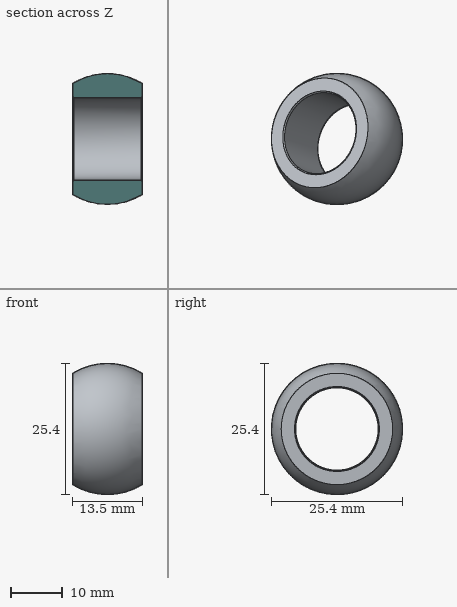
import cadquery as cq

ball_diameter = 25.4
width = 13.46
bore_diameter = 15.93
bore_chamfer = 0.25
slab_side = 2 * ball_diameter


def make_truncated_ball():
    """Sphere trimmed to the ring width by two flats normal to X."""
    ball = cq.Workplane("XY").sphere(ball_diameter / 2)
    slab = cq.Workplane("XY").box(width, slab_side, slab_side)
    return ball.intersect(slab)


def make_bore():
    """Through bore along X, flared at both ends to form the edge chamfers."""
    half_width = width / 2
    bore_radius = bore_diameter / 2
    mouth_radius = bore_radius + bore_chamfer
    chamfer_start = half_width - bore_chamfer
    half_profile = [
        (-half_width, 0),
        (-half_width, mouth_radius),
        (-chamfer_start, bore_radius),
        (chamfer_start, bore_radius),
        (half_width, mouth_radius),
        (half_width, 0),
    ]
    return cq.Workplane("XY").polyline(half_profile).close().revolve(360, (0, 0, 0), (1, 0, 0))


result = make_truncated_ball().cut(make_bore())